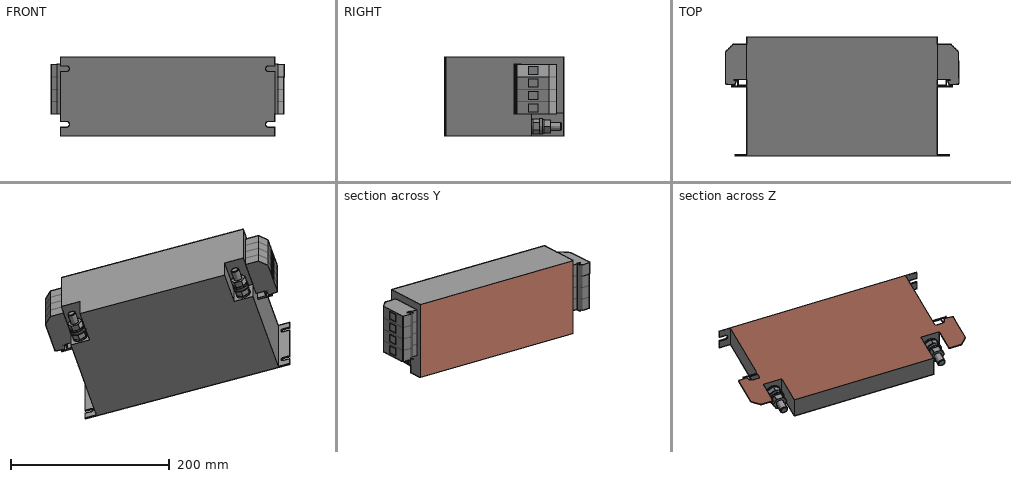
import cadquery as cq

HOUSING_WIDTH = 240.5
HOUSING_HEIGHT = 100.2
TOTAL_DEPTH = 150.2
HALF_HOUSING = HOUSING_WIDTH / 2

PLATE_WIDTH = 270.5
PLATE_THICKNESS = 1.8
SLOT_WIDTH = 7.0
SLOT_LENGTH = 11.5
SLOT_EDGE_OFFSET = 15.0

UNIT_COUNT = 4
UNIT_HEIGHT = 15.5
STACK_TOP = 90.5
STACK_BOTTOM = STACK_TOP - UNIT_COUNT * UNIT_HEIGHT
UNIT_OUTER_X = 147.0
UNIT_BACK_Y = 141.0
UNIT_FRONT_Y = 96.3
UNIT_CHAMFER = 9.7
FOOT_OUTER_Y = 91.3
FOOT_CORNER = 1.0
FOOT_INNER_X = 135.0
FOOT_ROOT_X = 133.0
FOOT_FRONT_Y = 89.5
TILTED_UNIT_LEAN = 0.5

WINDOW_DEPTH = 0.5
WINDOW_LENGTH = 12.5
WINDOW_HEIGHT = 10.0
WINDOW_CENTER_Y = 111.7

RAIL_TOP = STACK_TOP + 1.0
RAIL_HEIGHT = RAIL_TOP - STACK_BOTTOM
RAIL_THICKNESS = 1.0
RAIL_SIDE_X = 131.7
RAIL_LIP_X = 136.0
BRACKET_OUTER_X = 139.0
BRACKET_FRONT_Y = 87.2
BRACKET_THICKNESS = 1.5
RAIL_FLOOR_Y = BRACKET_FRONT_Y + BRACKET_THICKNESS

POCKET_LENGTH = 40.7
POCKET_HEIGHT = 29.5
STUD_Z = 12.5
POCKET_DEPTH = 2 * STUD_Z
STUD_X = HALF_HOUSING - POCKET_DEPTH / 2
POCKET_WALL_Y = TOTAL_DEPTH - POCKET_LENGTH

HEX_CORNER_DIAMETER = 19.0
HEX_LENGTH = 7.7
SMALL_WASHER_DIAMETER = 18.0
LARGE_WASHER_DIAMETER = 19.5
WASHER_THICKNESS = 2.0
STUD_DIAMETER = 10.0
STUD_LENGTH = 37.5
STUD_CHAMFER = 1.0


def box(x_range, y_range, z_range):
    """Box between the given limits along each axis."""
    size = [high - low for low, high in (x_range, y_range, z_range)]
    corner = (x_range[0], y_range[0], z_range[0])
    return cq.Workplane("XY").box(*size, centered=False).translate(corner)


def make_housing():
    """Plain box running the full depth of the part."""
    return box((-HALF_HOUSING, HALF_HOUSING), (0, TOTAL_DEPTH), (0, HOUSING_HEIGHT))


def make_plate():
    """Mounting plate with round-ended slots running in from its side edges."""
    half_width = PLATE_WIDTH / 2
    plate = box((-half_width, half_width), (0, PLATE_THICKNESS), (0, HOUSING_HEIGHT))
    slots = (
        cq.Workplane("XZ")
        .pushPoints([
            (x, z)
            for x in (-half_width, half_width)
            for z in (SLOT_EDGE_OFFSET, HOUSING_HEIGHT - SLOT_EDGE_OFFSET)
        ])
        .slot2D(2 * SLOT_LENGTH, SLOT_WIDTH)
        .extrude(-PLATE_THICKNESS)
    )
    return plate.cut(slots)


def make_unit(bottom_z, lean):
    """One +X terminal unit; lean moves the foot of its outer face outward."""
    foot_x = UNIT_OUTER_X + lean
    outline = [
        (HALF_HOUSING, UNIT_BACK_Y),
        (UNIT_OUTER_X - UNIT_CHAMFER, UNIT_BACK_Y),
        (UNIT_OUTER_X, UNIT_BACK_Y - UNIT_CHAMFER),
        (foot_x, FOOT_OUTER_Y),
        (foot_x - FOOT_CORNER, FOOT_OUTER_Y - FOOT_CORNER),
        (FOOT_INNER_X, FOOT_FRONT_Y),
        (FOOT_ROOT_X, UNIT_FRONT_Y),
        (HALF_HOUSING, UNIT_FRONT_Y),
    ]
    unit = cq.Workplane("XY").polyline(outline).close().extrude(UNIT_HEIGHT)
    window = (
        cq.Workplane("XY")
        .box(2 * WINDOW_DEPTH, WINDOW_LENGTH, WINDOW_HEIGHT)
        .translate((UNIT_OUTER_X + lean / 2, WINDOW_CENTER_Y, UNIT_HEIGHT / 2))
    )
    return unit.cut(window).translate((0, 0, bottom_z))


def make_rail():
    """Bracket plate and the exposed half of the hat-section rail on the +X side."""
    rail_outline = [
        (HALF_HOUSING, RAIL_FLOOR_Y),
        (RAIL_SIDE_X, RAIL_FLOOR_Y),
        (RAIL_SIDE_X, UNIT_FRONT_Y - RAIL_THICKNESS),
        (RAIL_LIP_X, UNIT_FRONT_Y - RAIL_THICKNESS),
        (RAIL_LIP_X, UNIT_FRONT_Y),
        (RAIL_SIDE_X - RAIL_THICKNESS, UNIT_FRONT_Y),
        (RAIL_SIDE_X - RAIL_THICKNESS, RAIL_FLOOR_Y + RAIL_THICKNESS),
        (HALF_HOUSING, RAIL_FLOOR_Y + RAIL_THICKNESS),
    ]
    rail = cq.Workplane("XY").polyline(rail_outline).close().extrude(RAIL_HEIGHT)
    bracket = box((HALF_HOUSING, BRACKET_OUTER_X), (BRACKET_FRONT_Y, RAIL_FLOOR_Y), (0, RAIL_HEIGHT))
    return rail.union(bracket).translate((0, 0, STACK_BOTTOM))


def make_pocket():
    """Cutter for the +X stud pocket."""
    return box(
        (HALF_HOUSING - POCKET_DEPTH, HALF_HOUSING),
        (POCKET_WALL_Y, TOTAL_DEPTH),
        (0, POCKET_HEIGHT),
    )


def make_stud():
    """Earth stud with its nuts and washers, pointing along +Y from the pocket wall."""
    base = cq.Workplane("XZ", origin=(STUD_X, POCKET_WALL_Y, STUD_Z))
    stud = base.circle(STUD_DIAMETER / 2).extrude(-STUD_LENGTH).faces(">Y").chamfer(STUD_CHAMFER)

    def washer(diameter):
        return base.circle(diameter / 2).extrude(-WASHER_THICKNESS)

    hexagon = base.polygon(6, HEX_CORNER_DIAMETER).extrude(-HEX_LENGTH)
    axis_start = (STUD_X, 0, STUD_Z)
    axis_end = (STUD_X, 1, STUD_Z)
    pointed_hexagon = hexagon.rotate(axis_start, axis_end, 30)
    stack = [
        (washer(SMALL_WASHER_DIAMETER), WASHER_THICKNESS),
        (pointed_hexagon, HEX_LENGTH),
        (washer(LARGE_WASHER_DIAMETER), WASHER_THICKNESS),
        (washer(LARGE_WASHER_DIAMETER), WASHER_THICKNESS),
        (washer(SMALL_WASHER_DIAMETER), WASHER_THICKNESS),
        (hexagon, HEX_LENGTH),
    ]
    offset = 0
    for piece, length in stack:
        stud = stud.union(piece.translate((0, offset, 0)), clean=False)
        offset += length
    return stud


def place_on_side(piece, side):
    """Leave a piece on the +X side, or mirror it to the -X side."""
    return piece if side > 0 else piece.mirror("YZ")


result = make_housing().union(make_plate())

for side in (-1, 1):
    result = result.cut(place_on_side(make_pocket(), side), clean=False)
    attachments = [make_stud(), make_rail()]
    for index in range(UNIT_COUNT):
        is_tilted = side > 0 and index == UNIT_COUNT - 1
        lean = TILTED_UNIT_LEAN if is_tilted else 0
        attachments.append(make_unit(STACK_BOTTOM + index * UNIT_HEIGHT, lean))
    for attachment in attachments:
        result = result.union(place_on_side(attachment, side), clean=False)